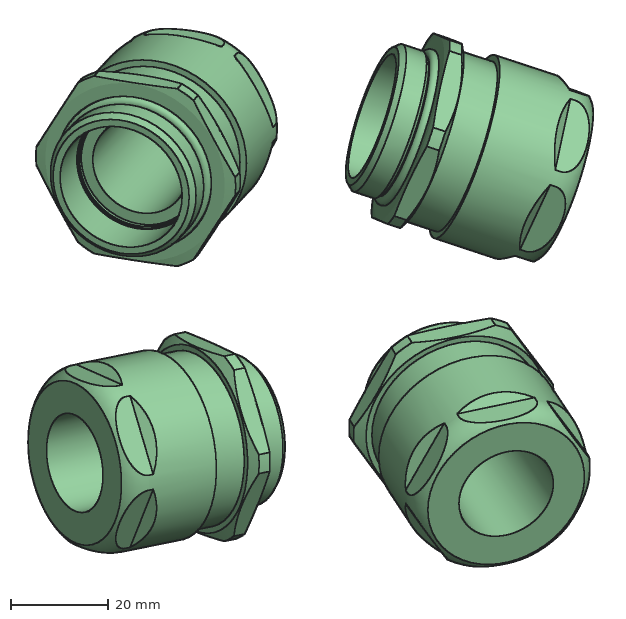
import cadquery as cq
import math

total_length = 42.1

thread_radius = 32.0 / 2
thread_tip_radius = 29.9 / 2
thread_tip_length = 1.25
thread_end = 5.7
relief_radius = 15.23
relief_start = thread_end + thread_radius - relief_radius

ring_radius = 16.9
ring_section_radius = 1.1
ring_start = 6.5

hex_start = 8.1
hex_end = 12.5
hex_across_flats = 39.9
hex_corner_radius = 21.95
hex_face_radius = 19.7
hex_front_drop = 0.35
hex_back_drop = 1.3

body_radius = 36.85 / 2
cap_radius = 39.7 / 2
cap_start = 20.35
cap_round_start = 37.1
cap_round_radius = 6.0
cap_flat_distance = 17.95
cap_flat_start = 36

entry_radius = 26.8 / 2
entry_depth = 9.7
step_radius = 26.45 / 2
step_depth = 9.9
seat_radius = 25.75 / 2
seat_depth = 10.93
through_radius = 20.7 / 2

side_count = 6


def revolve_about_y(profile):
    return profile.close().revolve(360, (0, 0, 0), (0, 1, 0))


def make_spigot():
    """Chamfered thread with a conical run-out into the relief groove."""
    return revolve_about_y(
        cq.Workplane("XY")
        .lineTo(thread_tip_radius, 0)
        .lineTo(thread_radius, thread_tip_length)
        .lineTo(thread_radius, thread_end)
        .lineTo(relief_radius, relief_start)
        .lineTo(relief_radius, hex_start)
        .lineTo(0, hex_start)
    )


def make_ring():
    """Sealing ring of round section, partly sunk into the hexagon and the spigot."""
    section_center_radius = ring_radius - ring_section_radius
    section_plane = cq.Plane(
        origin=(section_center_radius, ring_start + ring_section_radius, 0),
        xDir=(-1, 0, 0),
        normal=(0, 0, 1),
    )
    return (
        cq.Workplane(section_plane)
        .circle(ring_section_radius)
        .revolve(360, (section_center_radius, 0, 0), (section_center_radius, 1, 0))
    )


def make_hexagon():
    """Hexagon with flats facing +Z and -Z, its corners turned round and coned on both faces."""
    across_corners = hex_across_flats / math.cos(math.pi / side_count)
    prism = (
        cq.Workplane("XZ", origin=(0, hex_start, 0))
        .polygon(side_count, across_corners)
        .extrude(hex_start - hex_end)
    )
    turned_blank = revolve_about_y(
        cq.Workplane("XY")
        .moveTo(0, hex_start)
        .lineTo(hex_face_radius, hex_start)
        .lineTo(hex_corner_radius, hex_start + hex_front_drop)
        .lineTo(hex_corner_radius, hex_end - hex_back_drop)
        .lineTo(hex_face_radius, hex_end)
        .lineTo(0, hex_end)
    )
    return prism.intersect(turned_blank)


def make_body():
    return (
        cq.Workplane("XZ", origin=(0, hex_end, 0))
        .circle(body_radius)
        .extrude(hex_end - cap_start)
    )


def make_cap():
    """Domed cap with six flats, each ending in a 45 degree ramp."""
    arc_center_radius = cap_radius - cap_round_radius
    end_angle = math.asin((total_length - cap_round_start) / cap_round_radius)

    def dome_point(angle):
        return (
            arc_center_radius + cap_round_radius * math.cos(angle),
            cap_round_start + cap_round_radius * math.sin(angle),
        )

    cap = revolve_about_y(
        cq.Workplane("XY")
        .moveTo(0, cap_start)
        .lineTo(cap_radius, cap_start)
        .lineTo(cap_radius, cap_round_start)
        .threePointArc(dome_point(end_angle / 2), dome_point(end_angle))
        .lineTo(0, total_length)
    )

    overrun = 2.2
    outer_z = cap_radius + overrun
    flat_cutter = (
        cq.Workplane("YZ")
        .moveTo(cap_flat_start, cap_flat_distance)
        .lineTo(total_length + overrun, cap_flat_distance)
        .lineTo(total_length + overrun, outer_z)
        .lineTo(cap_flat_start - (outer_z - cap_flat_distance), outer_z)
        .close()
        .extrude(cap_radius, both=True)
    )
    for side in range(side_count):
        cap = cap.cut(flat_cutter.rotate((0, 0, 0), (0, 1, 0), side * 360 / side_count))
    return cap


def make_bore():
    """Through hole with a wide entry, a shallow step and a seat."""
    return revolve_about_y(
        cq.Workplane("XY")
        .lineTo(entry_radius, 0)
        .lineTo(entry_radius, entry_depth)
        .lineTo(step_radius, entry_depth)
        .lineTo(step_radius, step_depth)
        .lineTo(seat_radius, step_depth)
        .lineTo(seat_radius, seat_depth)
        .lineTo(through_radius, seat_depth)
        .lineTo(through_radius, total_length)
        .lineTo(0, total_length)
    )


result = (
    make_spigot()
    .union(make_ring())
    .union(make_hexagon())
    .union(make_body())
    .union(make_cap())
    .cut(make_bore())
)